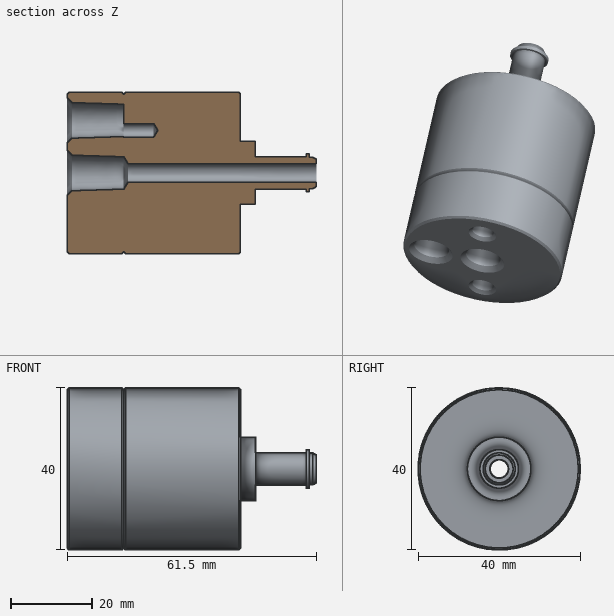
import cadquery as cq
import math

TOTAL_LENGTH = 61.5

BODY_DIAMETER = 40.0
BODY_LENGTH = 42.8
BODY_CHAMFER = 0.5
GROOVE_POSITION = 13.95
GROOVE_DEPTH = 0.5

FLANGE_DIAMETER = 15.7
FLANGE_LENGTH = 3.7
SHAFT_DIAMETER = 8.05
SHAFT_TIP_DIAMETER = 7.95
SHAFT_TIP_CHAMFER_LENGTH = 0.9
SHAFT_TIP_CHAMFER_ANGLE = 30.0
RING_DIAMETER = 9.55
RING_POSITION = 58.95
RING_WIDTH = 0.8

PORT_OFFSET = 13.0
PORT_MOUTH_DIAMETER = 11.0
PORT_ENTRY_DIAMETER = 8.7
PORT_FLOOR_DIAMETER = 7.9
PORT_TAPER = 1 / 16
PASSAGE_DIAMETER = 4.5

FEED_DIAMETER = 3.2
FEED_OFFSET = 10.5
FEED_DEPTH = 7.4

MOUNT_OFFSET = PORT_OFFSET
MOUNT_DIAMETER = 5.35
MOUNT_MOUTH_DIAMETER = 6.95
MOUNT_DEPTH = 9.85

DRILL_POINT_ANGLE = 118.0

port_chamfer = (PORT_MOUTH_DIAMETER - PORT_ENTRY_DIAMETER) / 2
port_depth = port_chamfer + (PORT_ENTRY_DIAMETER - PORT_FLOOR_DIAMETER) / PORT_TAPER


def drill_point_length(start_diameter, end_diameter=0.0):
    """Length of a drill-point cone narrowing between two diameters."""
    return (start_diameter - end_diameter) / 2 / math.tan(math.radians(DRILL_POINT_ANGLE / 2))


def revolve_about_x(stations):
    """Solid of revolution about X from (x, diameter) stations; it may end in a point."""
    first_x = stations[0][0]
    last_x = stations[-1][0]
    outline = [(x, diameter / 2) for x, diameter in stations]
    if outline[-1] != (last_x, 0):
        outline.append((last_x, 0))
    return (
        cq.Workplane("XY")
        .polyline([(first_x, 0), *outline])
        .close()
        .revolve(360, (0, 0, 0), (1, 0, 0))
    )


def outer_shape():
    face_diameter = BODY_DIAMETER - 2 * BODY_CHAMFER
    flange_end = BODY_LENGTH + FLANGE_LENGTH
    tip_start = TOTAL_LENGTH - SHAFT_TIP_CHAMFER_LENGTH
    tip_drop = SHAFT_TIP_CHAMFER_LENGTH * math.tan(math.radians(SHAFT_TIP_CHAMFER_ANGLE))
    return revolve_about_x([
        (0, face_diameter),
        (BODY_CHAMFER, BODY_DIAMETER),
        (GROOVE_POSITION - GROOVE_DEPTH, BODY_DIAMETER),
        (GROOVE_POSITION, BODY_DIAMETER - 2 * GROOVE_DEPTH),
        (GROOVE_POSITION + GROOVE_DEPTH, BODY_DIAMETER),
        (BODY_LENGTH - BODY_CHAMFER, BODY_DIAMETER),
        (BODY_LENGTH, face_diameter),
        (BODY_LENGTH, FLANGE_DIAMETER),
        (flange_end, FLANGE_DIAMETER),
        (flange_end, SHAFT_DIAMETER),
        (RING_POSITION, SHAFT_DIAMETER),
        (RING_POSITION, RING_DIAMETER),
        (RING_POSITION + RING_WIDTH, RING_DIAMETER),
        (RING_POSITION + RING_WIDTH, SHAFT_TIP_DIAMETER),
        (tip_start, SHAFT_TIP_DIAMETER),
        (TOTAL_LENGTH, SHAFT_TIP_DIAMETER - 2 * tip_drop),
    ])


def tapered_port():
    """Flat-bottomed tapered bore with a chamfered mouth."""
    return revolve_about_x([
        (0, PORT_MOUTH_DIAMETER),
        (port_chamfer, PORT_ENTRY_DIAMETER),
        (port_depth, PORT_FLOOR_DIAMETER),
    ])


def central_passage():
    """Conical floor of the central port, leading into the passage through the shaft."""
    cone_length = drill_point_length(PORT_FLOOR_DIAMETER, PASSAGE_DIAMETER)
    return revolve_about_x([
        (port_depth, PORT_FLOOR_DIAMETER),
        (port_depth + cone_length, PASSAGE_DIAMETER),
        (TOTAL_LENGTH, PASSAGE_DIAMETER),
    ])


def drilled_hole(diameter, depth, start=0.0):
    """Blind hole with a conical drill point."""
    return revolve_about_x([
        (start, diameter),
        (start + depth, diameter),
        (start + depth + drill_point_length(diameter), 0),
    ])


def mounting_hole():
    """Drilled blind hole with a 45 degree chamfered mouth."""
    chamfer = (MOUNT_MOUTH_DIAMETER - MOUNT_DIAMETER) / 2
    mouth = revolve_about_x([(0, MOUNT_MOUTH_DIAMETER), (chamfer, MOUNT_DIAMETER)])
    return drilled_hole(MOUNT_DIAMETER, MOUNT_DEPTH).union(mouth)


def side_port():
    """Off-axis tapered port with the feed hole drilled from its floor."""
    feed = drilled_hole(FEED_DIAMETER, FEED_DEPTH, port_depth).translate((0, FEED_OFFSET, 0))
    return tapered_port().translate((0, PORT_OFFSET, 0)).union(feed)


result = outer_shape().cut(tapered_port()).cut(central_passage()).cut(side_port())
for side in (-1, 1):
    result = result.cut(mounting_hole().translate((0, 0, side * MOUNT_OFFSET)))